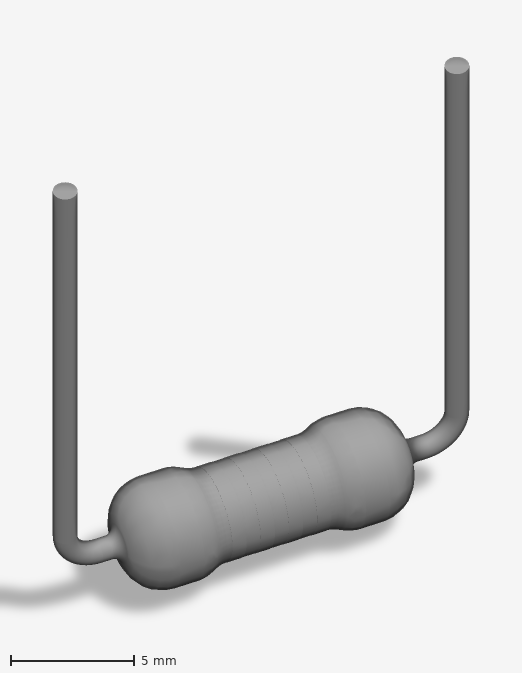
import cadquery as cq
import math

total_height = 23.4
total_length = 18.5
bulb_diameter = 4.8
lead_diameter = 1.0

waist_diameter = 4.07
band_diameter = 4.1
bulb_flat_outer = 4.68
bulb_flat_inner = 3.6
dome_radius = 1.68

band_width = 0.63
band_count = 4
band_pitch = 2 * band_width
waist_half_length = (2 * band_count - 1) * band_width / 2

bend_radius = 1.47
fillet_end = 6.8

bulb_radius = bulb_diameter / 2
waist_radius = waist_diameter / 2
lead_radius = lead_diameter / 2
lead_y = total_length / 2 - lead_radius
lead_top = total_height - bulb_radius

dome_center = (bulb_radius - dome_radius, bulb_flat_outer)
center_rise = fillet_end - bulb_flat_outer
center_gap = dome_center[0] - lead_radius
fillet_radius = (center_gap**2 + center_rise**2 - dome_radius**2) / (2 * (dome_radius + center_gap))
fillet_center = (lead_radius + fillet_radius, fillet_end)
tangent_angle = math.degrees(math.atan2(center_rise, fillet_center[0] - dome_center[0]))


def arc_point(center, radius, degrees):
    """Point on a circle at the given angle from the first axis."""
    angle = math.radians(degrees)
    return (center[0] + radius * math.cos(angle), center[1] + radius * math.sin(angle))


def body_end():
    """Bulb and lead fillet at the +Y end, revolved about Y."""
    shoulder_middle = ((bulb_radius + waist_radius) / 2, (bulb_flat_inner + waist_half_length) / 2)
    shoulder_rise = bulb_radius - waist_radius
    shoulder_length = bulb_flat_inner - waist_half_length
    shoulder_radius = (shoulder_rise**2 + shoulder_length**2) / (4 * shoulder_rise)
    shoulder_angle = math.degrees(math.asin(shoulder_length / (2 * shoulder_radius)))
    waist_arc_center = (waist_radius + shoulder_radius, waist_half_length)
    shoulder_arc_middle = arc_point(waist_arc_center, shoulder_radius, 180 - shoulder_angle / 2)
    dome_middle = arc_point(dome_center, dome_radius, tangent_angle / 2)
    dome_end = arc_point(dome_center, dome_radius, tangent_angle)
    fillet_middle = arc_point(fillet_center, fillet_radius, 180 + tangent_angle / 2)
    return (
        cq.Workplane("XY")
        .moveTo(0, waist_half_length)
        .lineTo(waist_radius, waist_half_length)
        .threePointArc(shoulder_arc_middle, shoulder_middle)
        .tangentArcPoint((bulb_radius, bulb_flat_inner), relative=False)
        .lineTo(bulb_radius, bulb_flat_outer)
        .threePointArc(dome_middle, dome_end)
        .threePointArc(fillet_middle, (lead_radius, fillet_end))
        .lineTo(0, fillet_end)
        .close()
        .revolve(360, (0, 0, 0), (0, 1, 0))
    )


def cylinder_along_y(diameter, length, center_y):
    """Cylinder around the Y axis, used for the waist and its bands."""
    return (
        cq.Workplane("XZ", origin=(0, center_y + length / 2, 0))
        .circle(diameter / 2)
        .extrude(length)
    )


def lead():
    """Round wire running out along +Y, then bending up to +Z."""
    bend_center = (lead_y - bend_radius, bend_radius)
    path = (
        cq.Workplane("YZ")
        .moveTo(fillet_end, 0)
        .lineTo(lead_y - bend_radius, 0)
        .threePointArc(arc_point(bend_center, bend_radius, -45), (lead_y, bend_radius))
        .lineTo(lead_y, lead_top)
    )
    return cq.Workplane("XZ", origin=(0, fillet_end, 0)).circle(lead_radius).sweep(path)


half = body_end().union(lead())
waist = cylinder_along_y(waist_diameter, 2 * waist_half_length, 0)
result = waist.union(half).union(half.mirror("XZ"))
for index in range(band_count):
    band_y = (index - (band_count - 1) / 2) * band_pitch
    result = result.union(cylinder_along_y(band_diameter, band_width, band_y))